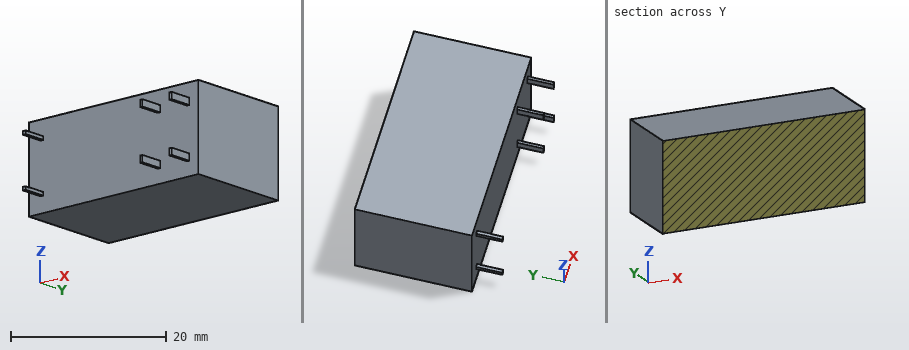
import cadquery as cq

body_length = 29.0
body_depth = 15.7
body_height = 12.7

pin_length = 3.5
coil_pin_size = 0.5
contact_pin_width = 0.4
contact_pin_height = 1.0

coil_pin_x = 2.25
coil_to_contact = 20.0
contact_pitch = 5.0
row_pitch = 7.5
lower_row_z = 2.58

contact_pin_positions = [coil_pin_x + coil_to_contact + i * contact_pitch for i in range(2)]
row_heights = [lower_row_z, lower_row_z + row_pitch]


def make_pin(x, z, width, height):
    """Rectangular pin centred on (x, z), reaching forward from the front face."""
    return (
        cq.Workplane("XZ")
        .center(x, z)
        .rect(width, height)
        .extrude(pin_length)
    )


result = cq.Workplane("XY").box(body_length, body_depth, body_height, centered=False)

for row_z in row_heights:
    result = result.union(make_pin(coil_pin_x, row_z, coil_pin_size, coil_pin_size))
    for contact_x in contact_pin_positions:
        result = result.union(make_pin(contact_x, row_z, contact_pin_width, contact_pin_height))